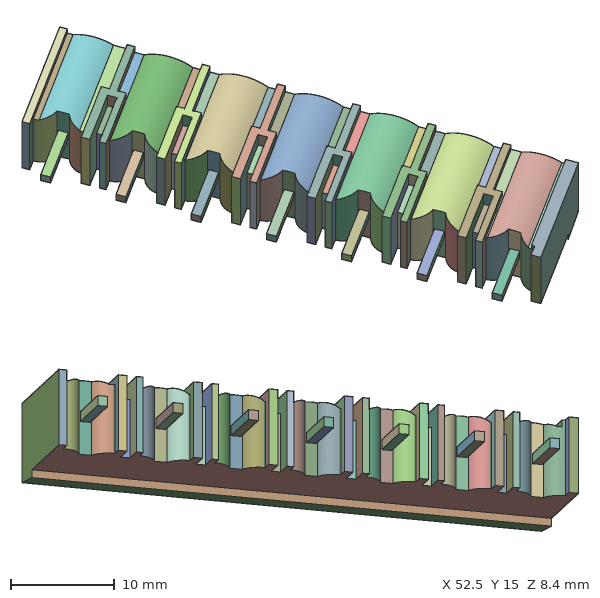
import cadquery as cq
import math

housing_length = 52.5
top_z = 8.4
body_bottom_z = 0.8
wall_depth = 11.8
body_depth = 10.7
overall_depth = 14.95
bay_count = 7
pitch = 7.6

arch_radius = 4.25
arch_top_z = 8.25
inner_shoulder_z = 7.45
outer_shoulder_z = 7.7
last_arch_shift = -0.3

recess_half_width = 0.65
recess_depth = 1.25
round_reach = 2.45

stem_width = 0.8
fork_back = 5.5
pin_to_fork_right = 2.55
pin_to_fork_left = 2.5
left_leg = 0.9
right_leg = 0.7
slot_back = 6.3
slot_floor_z = 6.65
slot_floor_front = 9.75

left_wall = 0.8
right_wall = 1.3
right_wall_leg = 1.0

rib_depth = 3.2
rib_rise = 0.4

pin_size = 1.0

left_x = -housing_length / 2
right_x = housing_length / 2
bay_centres = [(i - (bay_count - 1) / 2) * pitch for i in range(bay_count)]
divider_centres = [x + pitch / 2 for x in bay_centres[:-1]]
recess_floor_depth = body_depth - recess_depth

fork_left = pin_to_fork_right - pitch / 2
fork_right = pitch / 2 - pin_to_fork_left
slot_left = fork_left + left_leg
slot_right = fork_right - right_leg


def block(x_min, x_max, depth_min, depth_max, z_min, z_max):
    """Box between two X limits, two depths from the back face and two heights."""
    size = (x_max - x_min, depth_max - depth_min, z_max - z_min)
    return cq.Workplane("XY").box(*size, centered=False).translate((x_min, -depth_max, z_min))


def arch(centre_x, shoulder_z):
    """Part of a cylinder along Y that rises above the flat shoulders of a bay."""
    drop = arch_top_z - shoulder_z
    half_width = math.sqrt(arch_radius**2 - (arch_radius - drop) ** 2)
    return (
        cq.Workplane("XZ")
        .moveTo(centre_x - half_width, shoulder_z)
        .threePointArc((centre_x, arch_top_z), (centre_x + half_width, shoulder_z))
        .close()
        .extrude(body_depth)
    )


def bay_top(index):
    """Material of one bay above the inner shoulder height, between the dividers beside it."""
    centre_x = bay_centres[index]
    is_first = index == 0
    is_last = index == bay_count - 1
    if not (is_first or is_last):
        return arch(centre_x, inner_shoulder_z)
    x_min = left_x if is_first else divider_centres[-1]
    x_max = right_x - right_wall if is_last else divider_centres[0]
    shoulders = block(x_min, x_max, 0, body_depth, inner_shoulder_z, outer_shoulder_z)
    arch_x = centre_x + (last_arch_shift if is_last else 0)
    return shoulders.union(arch(arch_x, outer_shoulder_z))


def front_recess(centre_x):
    """Flat-floored recess whose convex flanks run tangentially into the front of the bay."""
    run = round_reach - recess_half_width
    flank_radius = (run**2 + recess_depth**2) / (2 * recess_depth)
    half_angle = math.asin(run / flank_radius) / 2
    flank_x = round_reach - flank_radius * math.sin(half_angle)
    flank_depth = body_depth - flank_radius * (1 - math.cos(half_angle))
    floor_left = (centre_x - recess_half_width, -recess_floor_depth)
    floor_right = (centre_x + recess_half_width, -recess_floor_depth)
    return (
        cq.Workplane("XY")
        .moveTo(centre_x - round_reach, -body_depth)
        .threePointArc((centre_x - flank_x, -flank_depth), floor_left)
        .lineTo(*floor_right)
        .threePointArc((centre_x + flank_x, -flank_depth), (centre_x + round_reach, -body_depth))
        .close()
        .extrude(top_z)
    )


def divider(centre_x):
    """Thin stem from the back face that widens into a fork toward the front."""
    stem = block(centre_x - stem_width / 2, centre_x + stem_width / 2, 0, fork_back, body_bottom_z, top_z)
    fork = block(centre_x + fork_left, centre_x + fork_right, fork_back, wall_depth, body_bottom_z, top_z)
    return stem.union(fork)


def divider_slot(centre_x):
    """Slot between the fork legs: shallow over its floor, full height at the front."""
    x_min = centre_x + slot_left
    x_max = centre_x + slot_right
    over_floor = block(x_min, x_max, slot_back, wall_depth, slot_floor_z, top_z)
    full_height = block(x_min, x_max, slot_floor_front, wall_depth, body_bottom_z, top_z)
    return over_floor.union(full_height)


def rib():
    """Full-length rib under the back edge, its underside sloping up toward the back face."""
    return (
        cq.Workplane("YZ")
        .polyline([(0, rib_rise), (-rib_depth, 0), (-rib_depth, body_bottom_z), (0, body_bottom_z)])
        .close()
        .extrude(housing_length)
        .translate((left_x, 0, 0))
    )


def make_housing():
    body = block(left_x, right_x, 0, body_depth, body_bottom_z, inner_shoulder_z)
    for index in range(bay_count):
        body = body.union(bay_top(index))
    body = body.union(block(right_x - right_wall, right_x, 0, body_depth, body_bottom_z, top_z))
    for centre_x in bay_centres:
        body = body.cut(front_recess(centre_x))
    for centre_x in divider_centres:
        body = body.union(divider(centre_x))
    for centre_x in divider_centres:
        body = body.cut(divider_slot(centre_x))
    body = body.union(block(left_x, left_x + left_wall, 0, wall_depth, body_bottom_z, top_z))
    body = body.union(block(right_x - right_wall_leg, right_x, 0, wall_depth, body_bottom_z, top_z))
    return body.union(rib()).solids()


def make_pin(centre_x):
    """Square pin standing on the recess floor, halfway up the body."""
    middle_z = (body_bottom_z + top_z) / 2
    half = pin_size / 2
    z_min = middle_z - half
    z_max = middle_z + half
    return block(centre_x - half, centre_x + half, recess_floor_depth, overall_depth, z_min, z_max)


housing = make_housing()
pins = [make_pin(centre_x) for centre_x in bay_centres]

result = cq.Compound.makeCompound([housing.val(), *[pin.val() for pin in pins]])